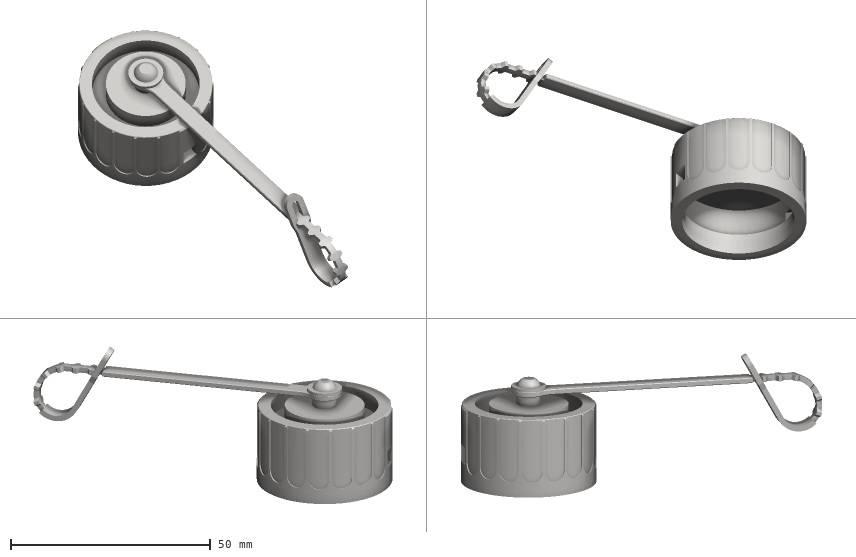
import cadquery as cq
import math

cap_diameter = 34.0
cap_height = 20.0
rim_chamfer = 0.5
bore_diameter = 30.2
wall_thickness = (cap_diameter - bore_diameter) / 2
groove_outer_diameter = 27.0
groove_inner_diameter = 20.0
groove_depth = 4.3
lip_bore_diameter = 28.3

flute_count = 18
flute_width = 5.3
flute_depth = 0.32
flute_bottom = 3.9
window_angles = (0, 180)

window_width = 4.3
window_bottom = 5.7
window_height = 4.3
window_roof_drop = 0.8

post_diameter = 6.0
post_top = 26.5
post_tip_diameter = 3.3
flange_diameter = 8.8
flange_thickness = 0.8

strap_width = 4.3
strap_thickness = 1.4
strap_top = 23.9
strap_chamfer = 0.2
eye_diameter = 8.2
eye_blend_radius = 7.0
overall_length = 92.2
bar_end = 57.1

upper_bend_radius = 8.5
lower_bend_radius = 6.1
return_angle = 61.0
return_length = 18.9
wide_start_angle = 45.0

neck_width = 1.75
tooth_span = 3.8
tooth_base = 2.0
tooth_tip = 0.8
tooth_pitch = 4.15
tooth_count = 6
first_tooth = 60.1

tab_width = 5.3
tab_start = 9.0
tab_taper = 1.8
tab_slot_width = 2.0
tab_slot_start = 10.0

cap_radius = cap_diameter / 2
groove_floor = cap_height - groove_depth
strap_bottom = strap_top - strap_thickness
strap_middle = strap_top - strap_thickness / 2
loop_right = overall_length - cap_radius
bend_z = strap_top - upper_bend_radius
upper_bend_x = loop_right - upper_bend_radius
lower_bend_x = loop_right - lower_bend_radius
upper_middle_radius = upper_bend_radius - strap_thickness / 2
lower_middle_radius = lower_bend_radius - strap_thickness / 2
return_tangent_angle = -90.0 - return_angle


def disc(diameter, bottom, height):
    return cq.Workplane("XY").workplane(offset=bottom).circle(diameter / 2).extrude(height)


def polar(center_x, radius, angle):
    """Point in the XZ plane on a bend circle; angle in degrees from +X."""
    turn = math.radians(angle)
    return (center_x + radius * math.cos(turn), bend_z + radius * math.sin(turn))


def make_flute(angle):
    """Scallop cutter with a round lower end, open through the rim."""
    end_radius = flute_width / 2
    core = disc(cap_diameter - 2 * flute_depth, 0, cap_height)
    flute = (
        cq.Workplane("YZ")
        .moveTo(-end_radius, cap_height)
        .lineTo(-end_radius, flute_bottom + end_radius)
        .threePointArc((0, flute_bottom), (end_radius, flute_bottom + end_radius))
        .lineTo(end_radius, cap_height)
        .close()
        .extrude(cap_diameter)
    )
    return flute.cut(core).rotate((0, 0, 0), (0, 0, 1), angle)


def make_window(angle):
    """Square opening through the wall above the lip, with a sloping roof."""
    inner = bore_diameter / 2 - wall_thickness / 2
    roof = window_bottom + window_height
    slope = window_roof_drop / wall_thickness
    outline = [
        (inner, window_bottom),
        (cap_radius, window_bottom),
        (cap_radius, roof),
        (inner, roof - slope * (cap_radius - inner)),
    ]
    window = cq.Workplane("XZ").polyline(outline).close().extrude(window_width / 2, both=True)
    return window.rotate((0, 0, 0), (0, 0, 1), angle)


def make_cap():
    cap = disc(cap_diameter, 0, cap_height).faces(">Z").chamfer(rim_chamfer)
    bore_top = groove_floor - wall_thickness
    cap = cap.cut(disc(lip_bore_diameter, 0, window_bottom))
    cap = cap.cut(disc(bore_diameter, window_bottom, bore_top - window_bottom))
    groove = disc(groove_outer_diameter, groove_floor, groove_depth)
    cap = cap.cut(groove.cut(disc(groove_inner_diameter, groove_floor, groove_depth)))
    for index in range(flute_count):
        angle = index * 360 / flute_count
        if angle not in window_angles:
            cap = cap.cut(make_flute(angle))
    for angle in window_angles:
        cap = cap.cut(make_window(angle))
    return cap


def make_post():
    """Round post with a flange above the strap and a flattened ball head."""
    base_radius = post_diameter / 2
    tip_radius = post_tip_diameter / 2
    head_bottom = strap_top + flange_thickness
    head_height = post_top - head_bottom
    ball_drop = (base_radius**2 - tip_radius**2 - head_height**2) / (2 * head_height)
    ball = cq.Workplane("XY").sphere(math.hypot(base_radius, ball_drop))
    ball = ball.translate((0, 0, head_bottom - ball_drop))
    head = ball.intersect(disc(post_diameter, head_bottom, head_height))
    shank = disc(post_diameter, groove_floor, head_bottom - groove_floor)
    flange = disc(flange_diameter, strap_top, flange_thickness)
    return shank.union(flange).union(head)


def make_bar():
    """Eye around the post and the straight bar, joined by tangent blends."""
    half_width = strap_width / 2
    eye_radius = eye_diameter / 2
    blend_y = half_width + eye_blend_radius
    blend_x = math.sqrt((eye_radius + eye_blend_radius) ** 2 - blend_y**2)
    blend_angle = math.atan2(blend_y, blend_x)
    eye_point = (eye_radius * math.cos(blend_angle), eye_radius * math.sin(blend_angle))
    middle_angle = (blend_angle + math.pi + 1.5 * math.pi) / 2
    blend_middle = (
        blend_x + eye_blend_radius * math.cos(middle_angle),
        blend_y + eye_blend_radius * math.sin(middle_angle),
    )
    return (
        cq.Workplane("XY")
        .workplane(offset=strap_bottom)
        .moveTo(bar_end, half_width)
        .lineTo(blend_x, half_width)
        .threePointArc(blend_middle, eye_point)
        .threePointArc((-eye_radius, 0), (eye_point[0], -eye_point[1]))
        .threePointArc((blend_middle[0], -blend_middle[1]), (blend_x, -half_width))
        .lineTo(bar_end, -half_width)
        .close()
        .extrude(strap_thickness)
        .faces("<Z or >Z")
        .chamfer(strap_chamfer)
    )


def make_bend(center_x, outer_radius, start_angle, end_angle, width):
    """Curved piece of ribbon between two angles."""
    inner_radius = outer_radius - strap_thickness
    middle_angle = (start_angle + end_angle) / 2
    return (
        cq.Workplane("XZ")
        .moveTo(*polar(center_x, outer_radius, start_angle))
        .threePointArc(
            polar(center_x, outer_radius, middle_angle), polar(center_x, outer_radius, end_angle)
        )
        .lineTo(*polar(center_x, inner_radius, end_angle))
        .threePointArc(
            polar(center_x, inner_radius, middle_angle), polar(center_x, inner_radius, start_angle)
        )
        .close()
        .extrude(width / 2, both=True)
    )


def make_toothed_ribbon(width):
    """Ribbon from the bar end, round the upper bend, to the wide stretch of the lower bend."""
    straight = cq.Workplane("XY").box(
        upper_bend_x - bar_end, width, strap_thickness, centered=(False, True, False)
    ).translate((bar_end, 0, strap_bottom))
    upper = make_bend(upper_bend_x, upper_bend_radius, 90, 0, width)
    lower = make_bend(lower_bend_x, lower_bend_radius, 0, -wide_start_angle, width)
    return straight.union(upper).union(lower)


def path_frame(distance):
    """Plane on the ribbon's middle line; distance is counted in X, then along the bends."""
    past_upper = distance - upper_bend_x
    past_lower = past_upper - upper_middle_radius * math.pi / 2
    if past_upper <= 0:
        origin = (distance, strap_middle)
        angle = 90.0
    elif past_lower <= 0:
        angle = 90 - math.degrees(past_upper / upper_middle_radius)
        origin = polar(upper_bend_x, upper_middle_radius, angle)
    else:
        angle = -math.degrees(past_lower / lower_middle_radius)
        origin = polar(lower_bend_x, lower_middle_radius, angle)
    turn = math.radians(angle)
    along = (math.sin(turn), 0, -math.cos(turn))
    outward = (math.cos(turn), 0, math.sin(turn))
    return cq.Plane(origin=(origin[0], 0, origin[1]), xDir=along, normal=outward)


def make_teeth():
    """Pairs of pointed teeth, trimmed to follow the ribbon."""
    ribbon = make_toothed_ribbon(tooth_span)
    half_neck = neck_width / 2
    half_span = tooth_span / 2
    half_base = tooth_base / 2
    half_tip = tooth_tip / 2
    teeth = make_toothed_ribbon(neck_width)
    for index in range(tooth_count):
        outline = [
            (-half_base, -half_neck),
            (-half_tip, -half_span),
            (half_tip, -half_span),
            (half_base, -half_neck),
            (half_base, half_neck),
            (half_tip, half_span),
            (-half_tip, half_span),
            (-half_base, half_neck),
        ]
        tooth = (
            cq.Workplane(path_frame(first_tooth + index * tooth_pitch))
            .polyline(outline)
            .close()
            .extrude(strap_thickness, both=True)
        )
        teeth = teeth.union(tooth.intersect(ribbon))
    return teeth


def make_return_leg():
    """Lower bend and straight leg back up, ending in the slotted round tab."""
    bend = make_bend(lower_bend_x, lower_bend_radius, -wide_start_angle, return_tangent_angle, strap_width)
    slope = math.radians(return_angle)
    start_x, start_z = polar(lower_bend_x, lower_bend_radius, return_tangent_angle)
    face = cq.Plane(
        origin=(start_x, 0, start_z),
        xDir=(-math.cos(slope), 0, math.sin(slope)),
        normal=(math.sin(slope), 0, math.cos(slope)),
    )
    tab_radius = tab_width / 2
    tip_center = return_length - tab_radius
    leg = cq.Workplane(face).center(tab_start / 2, 0).rect(tab_start, strap_width).extrude(strap_thickness)
    tab = (
        cq.Workplane(face)
        .moveTo(tab_start, -strap_width / 2)
        .lineTo(tab_start + tab_taper, -tab_radius)
        .lineTo(tip_center, -tab_radius)
        .threePointArc((return_length, 0), (tip_center, tab_radius))
        .lineTo(tab_start + tab_taper, tab_radius)
        .lineTo(tab_start, strap_width / 2)
        .close()
        .extrude(strap_thickness)
    )
    slot_length = tip_center + tab_slot_width / 2 - tab_slot_start
    slot = (
        cq.Workplane(face)
        .center(tab_slot_start + slot_length / 2, 0)
        .slot2D(slot_length, tab_slot_width)
        .extrude(strap_thickness)
    )
    return bend.union(leg).union(tab.cut(slot))


result = make_cap().union(make_post()).union(make_bar()).union(make_teeth()).union(make_return_leg())